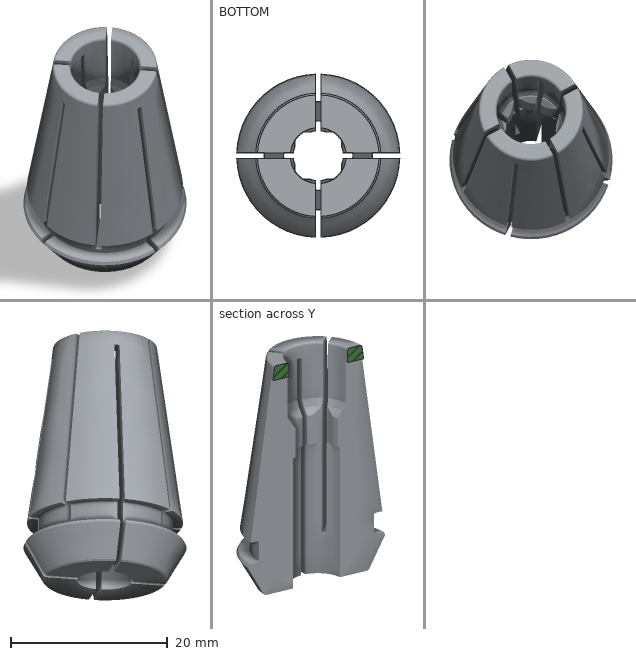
import cadquery as cq
import math


length = 31.5
flange_radius = 10.4

front_cone_angle = 30.0
front_edge_height = 0.2
front_face_radius = 7.75
flange_rim_z = 4.38
flange_top_z = 4.8
flange_top_radius = 10.17

groove_radius = 8.7
groove_top_z = 7.7
groove_fillet = 0.2

taper_angle = 8.0
taper_base_radius = 9.95
top_fillet = 0.35

shank_bore_radius = 3.55
square_start_z = 17.95
square_side = 6.0
square_length = 4.0
pilot_radius = 3.18
lead_in_height = 0.95
lead_in_radius = 3.87
ledge_radius = 3.97
relief_height = 0.95
rear_bore_radius = 4.4
rear_mouth_fillet = 0.35

slot_width = 0.7
front_slot_end_z = 29.48
rear_slot_floor_z = 5.5
slot_pair_angles = (0, 90)
rear_slot_turn = 45

front_cone_height = flange_rim_z - front_edge_height
front_edge_radius = flange_radius - front_cone_height * math.tan(math.radians(front_cone_angle))
taper_height = length - groove_top_z
taper_top_radius = taper_base_radius - taper_height * math.tan(math.radians(taper_angle))
square_end_z = square_start_z + square_length
lead_in_top_z = square_end_z + lead_in_height
relief_top_z = lead_in_top_z + relief_height


def outer_body():
    """Revolved outside shape, solid inside."""
    fillet_bulge = groove_fillet * (1 - math.sqrt(0.5))
    return (
        cq.Workplane("XZ")
        .moveTo(0, 0)
        .lineTo(front_face_radius, 0)
        .lineTo(front_edge_radius, front_edge_height)
        .lineTo(flange_radius, flange_rim_z)
        .lineTo(flange_top_radius, flange_top_z)
        .lineTo(groove_radius + groove_fillet, flange_top_z)
        .threePointArc(
            (groove_radius + fillet_bulge, flange_top_z + fillet_bulge),
            (groove_radius, flange_top_z + groove_fillet),
        )
        .lineTo(groove_radius, groove_top_z - groove_fillet)
        .threePointArc(
            (groove_radius + fillet_bulge, groove_top_z - fillet_bulge),
            (groove_radius + groove_fillet, groove_top_z),
        )
        .lineTo(taper_base_radius, groove_top_z)
        .lineTo(taper_top_radius, length)
        .lineTo(0, length)
        .close()
        .revolve(360, (0, 0, 0), (0, 1, 0))
    )


def round_bores():
    """Shank bore, pilot hole, stepped lead-in and rear bore as one revolved cutter."""
    return (
        cq.Workplane("XZ")
        .moveTo(0, 0)
        .lineTo(shank_bore_radius, 0)
        .lineTo(shank_bore_radius, square_start_z)
        .lineTo(pilot_radius, square_start_z)
        .lineTo(pilot_radius, square_end_z)
        .lineTo(lead_in_radius, lead_in_top_z)
        .lineTo(ledge_radius, lead_in_top_z)
        .lineTo(rear_bore_radius, relief_top_z)
        .lineTo(rear_bore_radius, length)
        .lineTo(0, length)
        .close()
        .revolve(360, (0, 0, 0), (0, 1, 0))
    )


def drive_square():
    """Square drive socket, its corners limited by the lead-in radius."""
    height = lead_in_top_z - square_start_z
    base = cq.Workplane("XY").workplane(offset=square_start_z)
    square = base.rect(square_side, square_side).extrude(height)
    return square.intersect(base.circle(lead_in_radius).extrude(height))


def slot_pair(bottom_z, top_z, turn):
    """Two crossed full-width slots between two heights, turned about the axis."""
    base = cq.Workplane("XY").workplane(offset=bottom_z)
    blade = base.rect(2 * flange_radius, slot_width).extrude(top_z - bottom_z)
    cutter = cq.Workplane("XY")
    for angle in slot_pair_angles:
        cutter = cutter.add(blade.rotate((0, 0, 0), (0, 0, 1), angle + turn))
    return cutter.combine()


result = outer_body().cut(round_bores())
bore_mouth = cq.selectors.RadiusNthSelector(0)
result = result.faces(">Z").edges(bore_mouth).fillet(rear_mouth_fillet)
taper_end = cq.selectors.RadiusNthSelector(-1)
result = result.faces(">Z").edges(taper_end).fillet(top_fillet)

result = result.cut(drive_square())
result = result.cut(slot_pair(0, front_slot_end_z, 0))
result = result.cut(slot_pair(rear_slot_floor_z, length, rear_slot_turn))